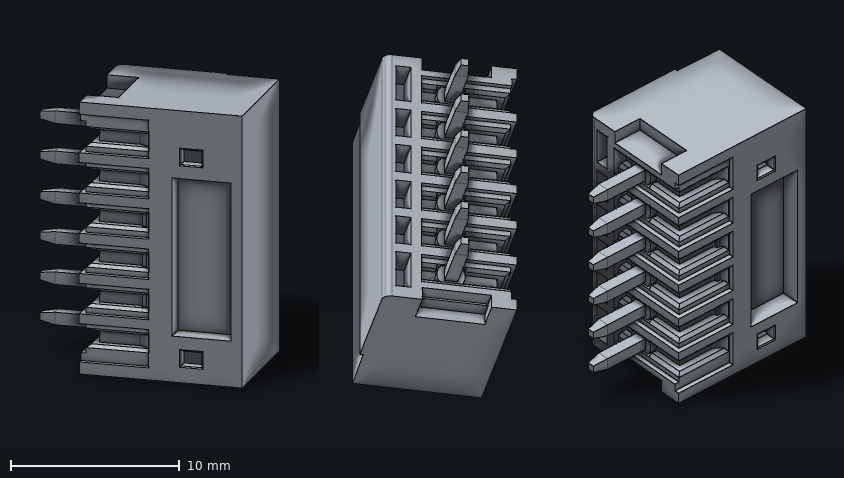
import cadquery as cq


body_length = 10.09
body_depth = 8.1
body_height = 16.9
back_corner_radius = 0.5
back_step_start = 6.81
back_step_drop = 0.2
back_end_drop = 0.25

pin_count = 6
pin_pitch = 2.5
pin_width = 0.8
pin_reach = 3.52
pin_tip_length = 0.98
pin_tip_width = 0.47
pin_y = 3.9

channel_front_length = 4.3
channel_side_length = 5.8
recess_depth = 0.32
recess_half_height = 0.95
end_recess_top = 7.69
bevel_depth = 0.25
bevel_outer_half = 0.6
groove_half_height = 0.42
groove_front_depth = 1.01
groove_side_depth = 0.96
groove_end_radius = 1.1
groove_end_x = 3.2
groove_end_y = -0.05
ledge_start = 3.7
ledge_depth = 0.76
ledge_channels = (1, 2, 3)

boss_diameter = 1.72
boss_face_x = 0.45

pocket_near_y = 6.44
pocket_far_y = 7.35
pocket_depth = 1.98

notch_length = 1.98
notch_near_y = 1.54
notch_far_y = 5.75
notch_depth = 0.83
notch_step_start = 1.0
notch_step_height = 0.12

front_opening_z = -0.68
window_left = 5.73
window_right = 9.38
window_height = 9.82
window_depth = 1.27

latch_left = 6.2
latch_right = 7.65
latch_height = 1.1
latch_spacing = (pin_count - 1) * pin_pitch
latch_depth = 0.71
latch_chamfer = 0.07
latch_cavity_drop = 0.3
latch_cavity_margin = 0.34
latch_cavity_back = 1.52


def box(x_range, y_range, z_range):
    """Box spanning the given (low, high) range on each axis."""
    size = [high - low for low, high in (x_range, y_range, z_range)]
    corner = (x_range[0], y_range[0], z_range[0])
    return cq.Workplane("XY").box(*size, centered=False).translate(corner)


def housing_block():
    """Plain block with a rounded back corner and a stepped, tapered back."""
    step_y = body_depth - back_step_drop
    return (
        cq.Workplane("XY", origin=(0, 0, -body_height / 2))
        .lineTo(body_length, 0)
        .lineTo(body_length, body_depth - back_end_drop)
        .lineTo(back_step_start, step_y)
        .lineTo(back_step_start, body_depth)
        .lineTo(back_corner_radius, body_depth)
        .radiusArc((0, body_depth - back_corner_radius), -back_corner_radius)
        .close()
        .extrude(body_height)
    )


def bevel_profile(plane):
    """Trapezoid narrowing from the recess floor to the groove."""
    inner = recess_depth + bevel_depth
    points = [
        (recess_depth, -bevel_outer_half),
        (inner, -groove_half_height),
        (inner, groove_half_height),
        (recess_depth, bevel_outer_half),
    ]
    return cq.Workplane(plane).polyline(points).close()


def bevels():
    """Bevelled mouth of the groove along the front and left faces, mitred at the edge."""
    front = bevel_profile("YZ").extrude(channel_front_length)
    side = bevel_profile("XZ").extrude(-channel_side_length)
    return front.union(side)


def groove(has_ledge):
    """Deep narrow part of a channel, with an optional ledge at the end of the front leg."""
    z_range = (-groove_half_height, groove_half_height)
    front = box((0, channel_front_length), (0, groove_front_depth), z_range)
    if has_ledge:
        ledge = box((ledge_start, channel_front_length), (ledge_depth, groove_front_depth), z_range)
        front = front.cut(ledge)
    side = box((0, groove_side_depth), (0, channel_side_length), z_range)
    return front.union(side)


def rounded_end_limit():
    """Space a channel may fill: everything short of the concave end of its front leg."""
    z_range = (-bevel_outer_half, bevel_outer_half)
    straight = box((0, groove_end_x), (0, channel_side_length), z_range)
    end = (
        cq.Workplane("XY", origin=(groove_end_x, groove_end_y, -bevel_outer_half))
        .circle(groove_end_radius)
        .extrude(2 * bevel_outer_half)
    )
    return straight.union(end)


def boss_seat():
    """Square-sided clearance around the boss, and the boss that stands in it."""
    radius = boss_diameter / 2
    seat = box(
        (0, groove_side_depth),
        (pin_y - radius, pin_y + radius),
        (-bevel_outer_half, bevel_outer_half),
    )
    boss = (
        cq.Workplane("YZ", origin=(boss_face_x, pin_y, 0))
        .circle(radius)
        .extrude(groove_side_depth - boss_face_x)
    )
    return seat, boss


def pin():
    """Square pin with a tapered tip, rooted in the boss."""
    shank_start = pin_tip_length - pin_reach
    shank = (
        cq.Workplane("YZ", origin=(shank_start, pin_y, 0))
        .rect(pin_width, pin_width)
        .extrude(groove_side_depth - shank_start)
    )
    tip = (
        cq.Workplane("YZ", origin=(-pin_reach, pin_y, 0))
        .rect(pin_tip_width, pin_tip_width)
        .workplane(offset=pin_tip_length)
        .rect(pin_width, pin_width)
        .loft()
    )
    return shank.union(tip)


def latch_hole(center_z):
    """Chamfered hole through the front wall into a wider, lower cavity."""
    low = center_z - latch_height / 2
    high = center_z + latch_height / 2
    width = latch_right - latch_left
    mouth = (
        cq.Workplane("XZ", origin=(latch_left + width / 2, 0, center_z))
        .rect(width, latch_height)
        .workplane(offset=-latch_chamfer)
        .rect(width - 2 * latch_chamfer, latch_height - 2 * latch_chamfer)
        .loft()
    )
    throat = box(
        (latch_left + latch_chamfer, latch_right - latch_chamfer),
        (0, latch_depth),
        (low + latch_chamfer, high - latch_chamfer),
    )
    cavity = box(
        (latch_left - latch_cavity_margin, latch_right + latch_cavity_margin),
        (latch_depth, latch_cavity_back),
        (low - latch_cavity_drop, high - latch_cavity_drop),
    )
    return mouth.union(throat).union(cavity)


result = housing_block()

for index in range(pin_count):
    z = (index - (pin_count - 1) / 2) * pin_pitch
    low = z - recess_half_height
    high = z + recess_half_height
    long_low = -end_recess_top if index == 0 else low
    long_high = end_recess_top if index == pin_count - 1 else high

    result = result.cut(box((0, channel_front_length), (0, recess_depth), (long_low, long_high)))
    result = result.cut(box((0, recess_depth), (0, channel_side_length), (low, high)))
    result = result.cut(box((0, pocket_depth), (pocket_near_y, pocket_far_y), (long_low, long_high)))

    seat, boss = boss_seat()
    channel = bevels().union(groove(index in ledge_channels)).intersect(rounded_end_limit())
    channel = channel.union(seat).cut(boss)
    result = result.cut(channel.translate((0, 0, z)))
    result = result.union(pin().translate((0, 0, z)))

half_height = body_height / 2
notch_y = (notch_near_y, notch_far_y)
result = result.cut(box((0, notch_length), notch_y, (half_height - notch_depth, half_height)))
bottom_notch = box((0, notch_length), notch_y, (0, notch_depth))
notch_step = box((notch_step_start, notch_length), notch_y, (notch_depth - notch_step_height, notch_depth))
result = result.cut(bottom_notch.cut(notch_step).translate((0, 0, -half_height)))

window_low = front_opening_z - window_height / 2
window_z = (window_low, window_low + window_height)
result = result.cut(box((window_left, window_right), (0, window_depth), window_z))
for side in (-1, 1):
    result = result.cut(latch_hole(front_opening_z + side * latch_spacing / 2))